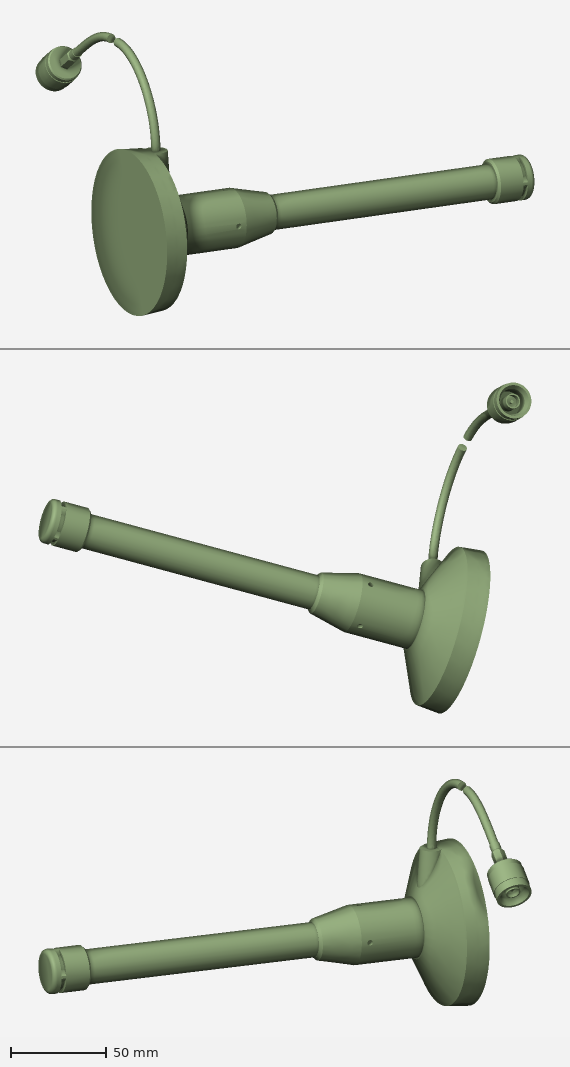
import cadquery as cq
import math


FOOT_RADIUS = 44.3
RIM_RADIUS = 43.0
RIM_Y = 12.4
ROOF_EDGE_RADIUS = 42.2
ROOF_EDGE_Y = 12.8
ROOF_TOP_RADIUS = 16.8
BASE_TOP_Y = 26.0

BOSS_Y = 15.5
BOSS_TOP_Z = 42.9
BOSS_TOP_RADIUS = 6.3
BOSS_DRAFT = 4.0
BOSS_HEIGHT = 23.3

COLLAR_RADIUS = 32.0 / 2
TAPER_START_Y = 61.0
TAPER_END_Y = 81.0
TAPER_END_RADIUS = 11.2
COLLAR_TOP_Y = 82.7
COLLAR_TOP_RADIUS = 9.5
SCREW_HOLE_Y = 56.5
SCREW_HOLE_DIAMETER = 3.0
SCREW_HOLE_DEPTH = 2.3
SCREW_HOLE_COUNT = 4

MAST_RADIUS = 9.3

CAP_TOP_Y = 233.0
CAP_BOTTOM_Y = 211.3
CAP_RADIUS = 24.0 / 2
CAP_CHAMFER = 1.2
CAP_TOP_FILLET = 2.3
NOTCH_BOTTOM_Y = 225.8
NOTCH_TOP_Y = 228.4
NOTCH_FLOOR_RADIUS = 10.0
TOOTH_COUNT = 4
TOOTH_ROOT_RADIUS = 9.5
TOOTH_TIP_WIDTH = 1.5
TOOTH_ROOT_WIDTH = 6.3

CABLE_RADIUS = 5.0 / 2
CABLE_END_Z = 90.5
BASE_CABLE_END_X = -44.3
BASE_CABLE_HANDLE = 23.3
CABLE_GAP = 7.7
PLUG_CABLE_END_X = BASE_CABLE_END_X - CABLE_GAP
PLUG_CABLE_SPAN_X = 39.5
PLUG_CABLE_DROP = 17.7
PLUG_CABLE_HANDLE = 14.5
FERRULE_END = (PLUG_CABLE_END_X - PLUG_CABLE_SPAN_X, CABLE_END_Z - PLUG_CABLE_DROP)

PLUG_TILT = 34.0
NUT_RADIUS = 19.8 / 2
NUT_END_RADIUS = 9.5
NUT_FRONT_LENGTH = 4.7
NUT_REAR_START = 14.5
NUT_LENGTH = 18.2
NUT_CHAMFER = 0.7
NUT_MOUTH_RADIUS = 8.2
NUT_MOUTH_DEPTH = 3.3
NUT_BORE_RADIUS = 6.8
NUT_BORE_DEPTH = 11.7
BARREL_RADIUS = 4.0
BARREL_RECESS = 1.9
BARREL_HOLE_RADIUS = 3.3
BARREL_FLOOR_DEPTH = 5.8
PIN_RADIUS = 0.82
PIN_RECESS = 3.7
HEX_SIDES = 6
HEX_CORNERS = 7.5
HEX_TAPER_START = 29.0
HEX_END = 30.3
FERRULE_RADIUS = 2.8
PLUG_LENGTH = 35.0


def turned(points):
    """Revolve a closed (radius, y) outline about the Y axis."""
    return cq.Workplane("XY").polyline(points).close().revolve(360, (0, 0), (0, 1))


def make_base():
    foot = turned([
        (0, 0),
        (FOOT_RADIUS, 0),
        (RIM_RADIUS, RIM_Y),
        (ROOF_EDGE_RADIUS, ROOF_EDGE_Y),
        (ROOF_TOP_RADIUS, BASE_TOP_Y),
        (0, BASE_TOP_Y),
    ])
    boss = (
        cq.Workplane("XY", origin=(0, BOSS_Y, BOSS_TOP_Z))
        .circle(BOSS_TOP_RADIUS)
        .extrude(-BOSS_HEIGHT, taper=-BOSS_DRAFT)
    )
    return foot.union(boss)


def make_collar():
    collar = turned([
        (0, BASE_TOP_Y),
        (COLLAR_RADIUS, BASE_TOP_Y),
        (COLLAR_RADIUS, TAPER_START_Y),
        (TAPER_END_RADIUS, TAPER_END_Y),
        (COLLAR_TOP_RADIUS, COLLAR_TOP_Y),
        (0, COLLAR_TOP_Y),
    ])
    for i in range(SCREW_HOLE_COUNT):
        hole = (
            cq.Workplane("XY", origin=(0, SCREW_HOLE_Y, COLLAR_RADIUS - SCREW_HOLE_DEPTH))
            .circle(SCREW_HOLE_DIAMETER / 2)
            .extrude(2 * SCREW_HOLE_DEPTH)
            .rotate((0, 0, 0), (0, 1, 0), i * 360 / SCREW_HOLE_COUNT)
        )
        collar = collar.cut(hole)
    return collar


def make_mast():
    return turned([
        (0, COLLAR_TOP_Y),
        (MAST_RADIUS, COLLAR_TOP_Y),
        (MAST_RADIUS, CAP_BOTTOM_Y),
        (0, CAP_BOTTOM_Y),
    ])


def make_cap():
    cap = turned([
        (0, CAP_BOTTOM_Y),
        (CAP_RADIUS - CAP_CHAMFER, CAP_BOTTOM_Y),
        (CAP_RADIUS, CAP_BOTTOM_Y + CAP_CHAMFER),
        (CAP_RADIUS, CAP_TOP_Y),
        (0, CAP_TOP_Y),
    ])
    cap = cap.faces(">Y").edges().fillet(CAP_TOP_FILLET)
    notch_height = NOTCH_TOP_Y - NOTCH_BOTTOM_Y
    notch_base = cq.Workplane("XZ", origin=(0, NOTCH_BOTTOM_Y, 0))
    notches = notch_base.circle(2 * CAP_RADIUS).circle(NOTCH_FLOOR_RADIUS).extrude(-notch_height)
    for i in range(TOOTH_COUNT):
        tooth = (
            notch_base
            .polyline([
                (-TOOTH_ROOT_WIDTH / 2, TOOTH_ROOT_RADIUS),
                (-TOOTH_TIP_WIDTH / 2, CAP_RADIUS),
                (TOOTH_TIP_WIDTH / 2, CAP_RADIUS),
                (TOOTH_ROOT_WIDTH / 2, TOOTH_ROOT_RADIUS),
            ])
            .close()
            .extrude(-notch_height)
            .rotate((0, 0, 0), (0, 1, 0), i * 360 / TOOTH_COUNT)
        )
        notches = notches.cut(tooth)
    return cap.cut(notches)


def make_cable(start, start_direction, end, end_direction, handle):
    """Sweep a round cable along a curve between two (x, z) points, leaving each along its direction."""
    start_handle = (start[0] + handle * start_direction[0], start[1] + handle * start_direction[1])
    end_handle = (end[0] - handle * end_direction[0], end[1] - handle * end_direction[1])
    path = cq.Workplane("XZ", origin=(0, BOSS_Y, 0)).bezier([start, start_handle, end_handle, end])
    section_plane = cq.Plane(
        origin=(start[0], BOSS_Y, start[1]),
        xDir=(0, 1, 0),
        normal=(start_direction[0], 0, start_direction[1]),
    )
    return cq.Workplane(section_plane).circle(CABLE_RADIUS).sweep(path)


def make_base_cable():
    boss_top = (0, BOSS_TOP_Z)
    cable_end = (BASE_CABLE_END_X, CABLE_END_Z)
    return make_cable(boss_top, (0, 1), cable_end, (-1, 0), BASE_CABLE_HANDLE)


def make_plug_cable():
    tilt = math.radians(PLUG_TILT)
    plug_direction = (math.cos(tilt), math.sin(tilt))
    cable_end = (PLUG_CABLE_END_X, CABLE_END_Z)
    return make_cable(FERRULE_END, plug_direction, cable_end, (1, 0), PLUG_CABLE_HANDLE)


def make_plug():
    nut = turned([
        (0, NUT_BORE_DEPTH),
        (NUT_BORE_RADIUS, NUT_BORE_DEPTH),
        (NUT_BORE_RADIUS, NUT_MOUTH_DEPTH),
        (NUT_MOUTH_RADIUS, 0),
        (NUT_END_RADIUS, 0),
        (NUT_END_RADIUS, NUT_FRONT_LENGTH),
        (NUT_RADIUS, NUT_FRONT_LENGTH),
        (NUT_RADIUS, NUT_REAR_START),
        (NUT_END_RADIUS, NUT_REAR_START),
        (NUT_END_RADIUS, NUT_LENGTH - NUT_CHAMFER),
        (NUT_END_RADIUS - NUT_CHAMFER, NUT_LENGTH),
        (0, NUT_LENGTH),
    ])
    barrel = turned([
        (0, PIN_RECESS),
        (PIN_RADIUS, PIN_RECESS),
        (PIN_RADIUS, BARREL_FLOOR_DEPTH),
        (BARREL_HOLE_RADIUS, BARREL_FLOOR_DEPTH),
        (BARREL_HOLE_RADIUS, BARREL_RECESS),
        (BARREL_RADIUS, BARREL_RECESS),
        (BARREL_RADIUS, NUT_BORE_DEPTH),
        (0, NUT_BORE_DEPTH),
    ])
    hexagon = (
        cq.Workplane("XZ", origin=(0, NUT_LENGTH, 0))
        .polygon(HEX_SIDES, HEX_CORNERS)
        .extrude(-(HEX_END - NUT_LENGTH))
        .rotate((0, 0, 0), (0, 1, 0), 180 / HEX_SIDES)
    )
    hex_turning = turned([
        (0, NUT_LENGTH),
        (HEX_CORNERS / 2, NUT_LENGTH),
        (HEX_CORNERS / 2, HEX_TAPER_START),
        (FERRULE_RADIUS, HEX_END),
        (0, HEX_END),
    ])
    hexagon = hexagon.intersect(hex_turning)
    ferrule = turned([(0, HEX_END), (FERRULE_RADIUS, HEX_END), (FERRULE_RADIUS, PLUG_LENGTH), (0, PLUG_LENGTH)])
    plug = nut.union(barrel).union(hexagon).union(ferrule)
    end_x, end_z = FERRULE_END
    return (
        plug.translate((0, -PLUG_LENGTH, 0))
        .rotate((0, 0, 0), (0, 0, 1), -90)
        .rotate((0, 0, 0), (0, 1, 0), -PLUG_TILT)
        .translate((end_x, BOSS_Y, end_z))
    )


base = make_base()
collar = make_collar()
mast = make_mast()
cap = make_cap()
base_cable = make_base_cable()
plug_cable = make_plug_cable()
plug = make_plug()

result = cq.Compound.makeCompound([
    base.val(),
    collar.val(),
    mast.val(),
    cap.val(),
    base_cable.val(),
    plug_cable.val(),
    plug.val(),
])